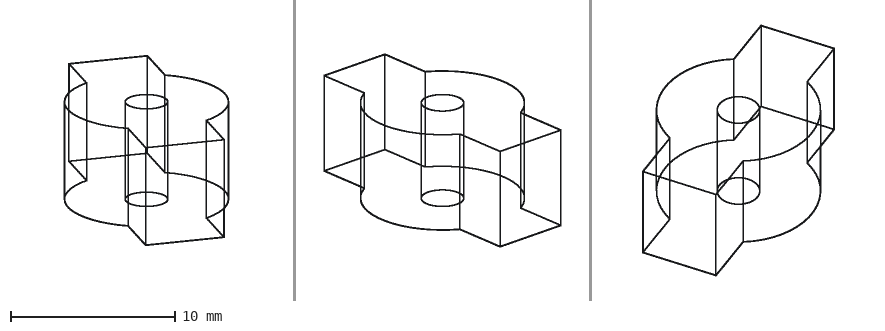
import cadquery as cq

bar_length = 16.0
bar_width = 5.0
hub_diameter = 10.0
bore_diameter = 2.6
height = 6.3

arms = cq.Workplane("XY").box(bar_length, bar_width, height)

hub = cq.Workplane("XY").circle(hub_diameter / 2).extrude(height / 2, both=True)

bore = cq.Workplane("XY").circle(bore_diameter / 2).extrude(height / 2, both=True)

result = arms.union(hub).cut(bore)